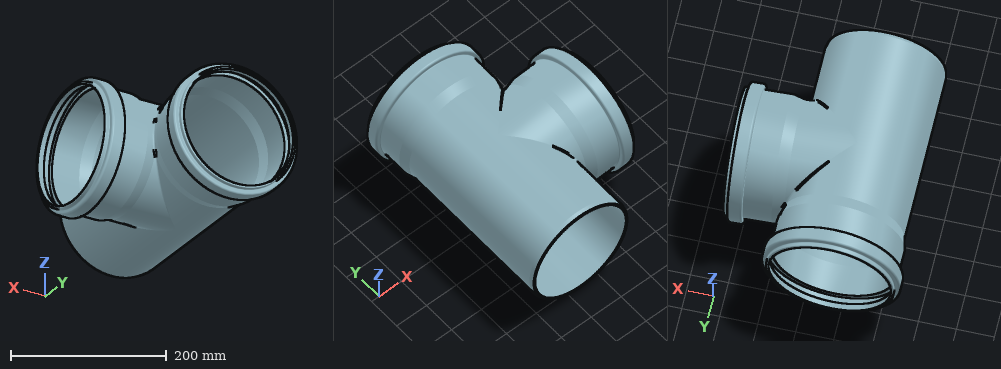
import cadquery as cq
import math


pipe_radius = 160.4 / 2
bore_radius = 152 / 2

total_length = 324
run_socket_reach = 159.9
branch_socket_reach = 159.9
branch_tilt = 2.5
spigot_reach = total_length - run_socket_reach

crotch_fillet = 2
crotch_run_out = 2
crotch_half_height = pipe_radius - crotch_run_out

chamfer_length = 6
chamfer_angle = 15
chamfer_depth = chamfer_length * math.tan(math.radians(chamfer_angle))

socket_radius = 168.6 / 2
socket_bore_radius = 161.2 / 2
socket_length = 63.5
cone_length = 15.5
lip_fillet = 1

collar_radius = 183 / 2
groove_radius = 175.6 / 2
lip_length = 5.8
collar_length = 19.7
collar_fillet = 3
collar_root_fillet = 1
collar_wall = collar_radius - groove_radius


def revolve_profile(points):
    """Revolve an outline of (radius, axial position) points about the Y axis."""
    outline = cq.Workplane("XY").polyline(points).close()
    return outline.revolve(360, (0, 0, 0), (0, 1, 0))


def cylinder(radius, start, end):
    """Solid cylinder on the Y axis between two axial positions."""
    return revolve_profile([(0, start), (radius, start), (radius, end), (0, end)])


def socket_pipe(start, reach):
    """Outside of a pipe that widens into a socket with a seal collar."""
    cone_end = reach - socket_length
    cone_start = cone_end - cone_length
    collar_top = reach - lip_length
    collar_bottom = collar_top - collar_length
    body = revolve_profile([
        (0, start),
        (pipe_radius, start),
        (pipe_radius, cone_start),
        (socket_radius, cone_end),
        (socket_radius, reach),
        (0, reach),
    ])
    body = body.faces(">Y").edges().fillet(lip_fillet)
    collar = cylinder(collar_radius, collar_bottom, collar_top)
    collar = collar.edges("%CIRCLE").fillet(collar_fillet)
    body = body.union(collar)
    root_limit = socket_radius + collar_root_fillet
    around_roots = cq.selectors.BoxSelector(
        (-root_limit, collar_bottom - collar_root_fillet, -root_limit),
        (root_limit, collar_top + collar_root_fillet, root_limit),
        boundingbox=True,
    )
    root_edges = body.edges("%CIRCLE").edges(around_roots)
    return root_edges.fillet(collar_root_fillet)


def socket_bore(start, reach):
    """Hollow of a pipe, its socket and the seal groove."""
    cone_end = reach - socket_length
    cone_start = cone_end - cone_length
    groove_top = reach - lip_length - collar_wall
    groove_bottom = reach - lip_length - collar_length + collar_wall
    return revolve_profile([
        (0, start),
        (bore_radius, start),
        (bore_radius, cone_start),
        (socket_bore_radius, cone_end),
        (socket_bore_radius, groove_bottom),
        (groove_radius, groove_bottom),
        (groove_radius, groove_top),
        (socket_bore_radius, groove_top),
        (socket_bore_radius, reach),
        (0, reach),
    ])


def turn_to_branch(shape):
    """Swing a shape from the run axis onto the branch axis."""
    return shape.rotate((0, 0, 0), (0, 0, 1), branch_tilt - 90)


def round_crotch(tee):
    """Fillet the seam between the two pipes.

    The seam runs out where the pipes are tangent, at the highest and lowest
    points, so a slab just short of those points is filleted and joined back.
    """
    slab_side = 2 * total_length
    slab = tee.intersect(cq.Workplane("XY").box(slab_side, slab_side, 2 * crotch_half_height))
    between_cuts = cq.selectors.BoxSelector(
        (-slab_side, -slab_side, -bore_radius),
        (slab_side, slab_side, bore_radius),
    )
    seam = slab.edges("%ELLIPSE or %BSPLINE").edges(between_cuts)
    return tee.union(seam.fillet(crotch_fillet))


run = socket_pipe(chamfer_length - spigot_reach, run_socket_reach)
spigot_tip = revolve_profile([
    (0, -spigot_reach),
    (pipe_radius - chamfer_depth, -spigot_reach),
    (pipe_radius, chamfer_length - spigot_reach),
    (0, chamfer_length - spigot_reach),
])
run = run.union(spigot_tip)

branch = turn_to_branch(socket_pipe(0, branch_socket_reach))

result = round_crotch(run.union(branch))
result = result.cut(socket_bore(-spigot_reach, run_socket_reach))
result = result.cut(turn_to_branch(socket_bore(0, branch_socket_reach)))